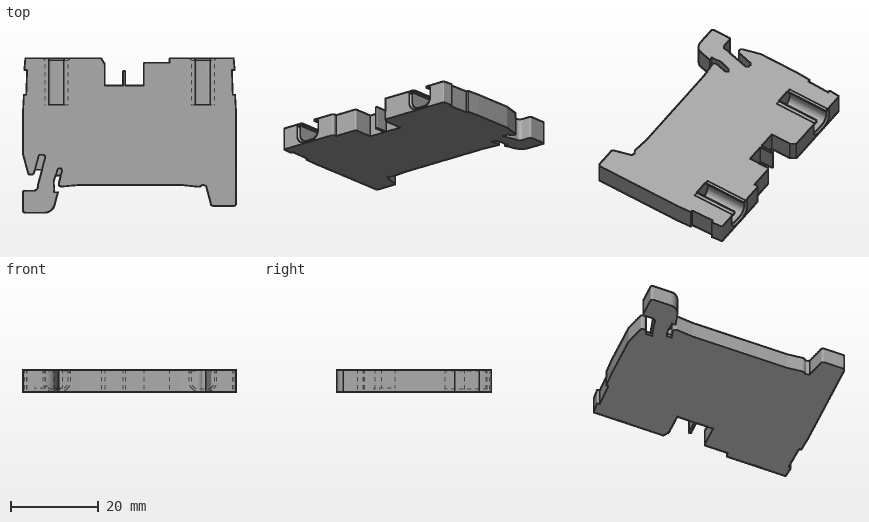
import cadquery as cq
import math

WIDTH = 48.5
HEIGHT = 35.2
THICKNESS = 5.1
HALF_WIDTH = WIDTH / 2

LEAN_ANGLE = 15.0
LEAN = math.tan(math.radians(LEAN_ANGLE))

CORNER_RADIUS = 0.55
MEDIUM_RADIUS = 0.7
SMALL_RADIUS = 0.35
EDGE_RADIUS = 0.2

ROUND_END = 0.48

TOP_INSET = 0.55
LATCH_INSET = 0.3
LATCH_Y = 32.45
NECK_TOP_INSET = 0.9
NECK_BOTTOM_INSET = 0.75
SHOULDER_INSET = 0.2
SHOULDER_Y = 26.85
SIDE_Y = 23.25

NOTCH_LEFT = -5.65
NOTCH_RIGHT = 3.2
NOTCH_FLOOR_Y = 29.0
NOTCH_CHAMFER_X = 0.82
NOTCH_CHAMFER_Y = 1.3
LEDGE_RIGHT = 9.05
LEDGE_Y = 34.2

FIN_X = -1.2
FIN_WIDTH = 0.55
FIN_TIP_Y = 32.3

SEAT_Y = 6.3
SEAT_END_Y = 5.85
SEAT_FLAT_LEFT = -11.45
SEAT_FLAT_RIGHT = 11.85
SEAT_LEFT = -16.35
SEAT_RIGHT = 15.95
SEAT_END_RADIUS = 1.05

FOOT_Y = 1.55
FOOT_LEFT = 18.6
RELIEF_X = 16.6
RELIEF_Y = 6.35
FOOT_ROOT_Y = 6.1

LOBE_TOP_Y = 13.35
LOBE_Y = 8.7
WIDE_SLOT_TOP_Y = 13.2
WIDE_SLOT_TOP_RIGHT = -19.0
WIDE_SLOT_WIDTH = 1.6

HOOK_TOP_Y = 5.05
HOOK_RADIUS = 2.42
HOOK_TIP_X = -16.25
HOOK_TIP_Y = 4.7
HOOK_NECK_X = -17.15
ARM_KINK_Y = 6.25
ARM_KINK_RADIUS = 1.3
ARM_ROOT_RADIUS = 0.95
NECK_BULGE = 0.1
NECK_BULGE_Y = 5.45
ARM_BEND_Y = 7.05
ARM_BEND_RADIUS = 1.95

NARROW_SLOT_TOP_Y = 10.15
NARROW_SLOT_WIDTH = 1.05

WEB_THICKNESS = 0.95
WEB_OVERLAP = 0.25
WIDE_WEB_Y = 9.75
NARROW_WEB_Y = 8.5

CHANNEL_X = 16.65
CHANNEL_LENGTH = 10.55
CHANNEL_OPENING = 3.45
CHANNEL_FLAT = 1.75
CHANNEL_RADIUS = 1.75
CHANNEL_DEPTH = 4.35
MOUTH_BEVEL = 0.55
MOUTH_BEVEL_ANGLE = 45.0
LIP_THICKNESS = 0.25


def rounded_wire(corners, plane=cq.Workplane("XY")):
    """Closed outline through (x, y, radius) corners, each rounded by a tangent arc."""
    arcs = []
    for i, (x, y, radius) in enumerate(corners):
        before = cq.Vector(*corners[i - 1][:2])
        after = cq.Vector(*corners[(i + 1) % len(corners)][:2])
        corner = cq.Vector(x, y)
        to_before = (before - corner).normalized()
        to_after = (after - corner).normalized()
        half_angle = to_before.getAngle(to_after) / 2
        setback = radius / math.tan(half_angle)
        bisector = (to_before + to_after).normalized()
        middle = corner + bisector * (radius / math.sin(half_angle) - radius)
        arcs.append((corner + to_before * setback, middle, corner + to_after * setback, radius))
    outline = plane.moveTo(*arcs[0][2].toTuple()[:2])
    for start, middle, end, radius in arcs[1:] + arcs[:1]:
        outline = outline.lineTo(start.x, start.y)
        if radius > 0:
            outline = outline.threePointArc((middle.x, middle.y), (end.x, end.y))
    return outline.close()


def side_steps(side):
    """Corners of one stepped side from the top edge down; side is -1 for left, +1 for right."""
    steps = [
        (TOP_INSET, HEIGHT, EDGE_RADIUS),
        (LATCH_INSET, LATCH_Y, EDGE_RADIUS),
        (NECK_TOP_INSET, LATCH_Y, 0),
        (NECK_BOTTOM_INSET, SHOULDER_Y, 0),
        (SHOULDER_INSET, SHOULDER_Y, 0),
        (0, SIDE_Y, 0),
    ]
    return [(side * (HALF_WIDTH - inset), y, radius) for inset, y, radius in steps]


def wide_slot_right(y):
    return WIDE_SLOT_TOP_RIGHT - (WIDE_SLOT_TOP_Y - y) * LEAN


def narrow_slot_right(y):
    return SEAT_LEFT + (y - SEAT_END_Y) * LEAN


def left_corners():
    """Lobe, wide slot, hook, spring arm and narrow slot, from the left side to the rail seat."""
    lobe_left = -HALF_WIDTH + (LOBE_TOP_Y - LOBE_Y) * LEAN
    arm_left = wide_slot_right(ARM_KINK_Y)
    hook_right = HOOK_TIP_X - HOOK_TIP_Y * LEAN
    arm_slot_top = narrow_slot_right(NARROW_SLOT_TOP_Y)
    slot_end_radius = ROUND_END * NARROW_SLOT_WIDTH
    return [
        (-HALF_WIDTH, LOBE_TOP_Y, CORNER_RADIUS),
        (lobe_left, LOBE_Y, CORNER_RADIUS),
        (wide_slot_right(LOBE_Y) - WIDE_SLOT_WIDTH, LOBE_Y, MEDIUM_RADIUS),
        (WIDE_SLOT_TOP_RIGHT - WIDE_SLOT_WIDTH, WIDE_SLOT_TOP_Y, SMALL_RADIUS),
        (WIDE_SLOT_TOP_RIGHT, WIDE_SLOT_TOP_Y, CORNER_RADIUS),
        (arm_left, ARM_KINK_Y, ARM_KINK_RADIUS),
        (arm_left, HOOK_TOP_Y, ARM_ROOT_RADIUS),
        (-HALF_WIDTH, HOOK_TOP_Y, SMALL_RADIUS),
        (-HALF_WIDTH, 0, CORNER_RADIUS),
        (hook_right, 0, HOOK_RADIUS),
        (HOOK_TIP_X, HOOK_TIP_Y, 0),
        (HOOK_NECK_X, HOOK_TIP_Y, 0),
        (HOOK_NECK_X + NECK_BULGE, NECK_BULGE_Y, SMALL_RADIUS),
        (HOOK_NECK_X - NECK_BULGE, ARM_BEND_Y, ARM_BEND_RADIUS),
        (arm_slot_top - NARROW_SLOT_WIDTH, NARROW_SLOT_TOP_Y, slot_end_radius),
        (arm_slot_top, NARROW_SLOT_TOP_Y, slot_end_radius),
        (SEAT_LEFT, SEAT_END_Y, MEDIUM_RADIUS),
    ]


def seat_and_foot_corners():
    foot_root_x = FOOT_LEFT - (FOOT_ROOT_Y - FOOT_Y) * LEAN
    return [
        (SEAT_FLAT_LEFT, SEAT_Y, 0),
        (SEAT_FLAT_RIGHT, SEAT_Y, 0),
        (SEAT_RIGHT, SEAT_END_Y, SEAT_END_RADIUS),
        (RELIEF_X, RELIEF_Y, SMALL_RADIUS),
        (foot_root_x, FOOT_ROOT_Y, 0),
        (FOOT_LEFT, FOOT_Y, CORNER_RADIUS),
        (HALF_WIDTH, FOOT_Y, CORNER_RADIUS),
    ]


def top_corners():
    """Top edge from right to left, with the notch and its fin."""
    fin_left = FIN_X - FIN_WIDTH / 2
    fin_right = FIN_X + FIN_WIDTH / 2
    fin_radius = ROUND_END * FIN_WIDTH
    return [
        (LEDGE_RIGHT, HEIGHT, SMALL_RADIUS),
        (LEDGE_RIGHT, LEDGE_Y, 0),
        (NOTCH_RIGHT, LEDGE_Y, SMALL_RADIUS),
        (NOTCH_RIGHT, NOTCH_FLOOR_Y, 0),
        (fin_right, NOTCH_FLOOR_Y, 0),
        (fin_right, FIN_TIP_Y, fin_radius),
        (fin_left, FIN_TIP_Y, fin_radius),
        (fin_left, NOTCH_FLOOR_Y, 0),
        (NOTCH_LEFT, NOTCH_FLOOR_Y, 0),
        (NOTCH_LEFT, HEIGHT - NOTCH_CHAMFER_Y, 0),
        (NOTCH_LEFT - NOTCH_CHAMFER_X, HEIGHT, 0),
    ]


def make_plate():
    corners = side_steps(-1) + left_corners() + seat_and_foot_corners()
    corners += side_steps(1)[::-1] + top_corners()
    return rounded_wire(corners).extrude(THICKNESS)


def make_web(right_edge, slot_width, bottom_y, top_y):
    """Thin leaning strip across a slot, reaching slightly into both slot walls."""
    reach = slot_width + WEB_OVERLAP
    low = right_edge(bottom_y)
    high = right_edge(top_y)
    corners = [
        (low - reach, bottom_y),
        (low + WEB_OVERLAP, bottom_y),
        (high + WEB_OVERLAP, top_y),
        (high - reach, top_y),
    ]
    return cq.Workplane("XY").polyline(corners).close().extrude(WEB_THICKNESS)


def channel_section(center_x, growth):
    """Flat-topped section below the lips, with rounded lower corners; growth widens and deepens it."""
    half_width = CHANNEL_FLAT / 2 + CHANNEL_RADIUS + growth
    radius = CHANNEL_RADIUS + growth
    floor_z = THICKNESS - CHANNEL_DEPTH - growth
    ceiling_z = THICKNESS - LIP_THICKNESS
    corners = [
        (center_x - half_width, floor_z, radius),
        (center_x + half_width, floor_z, radius),
        (center_x + half_width, ceiling_z, 0),
        (center_x - half_width, ceiling_z, 0),
    ]
    return rounded_wire(corners, cq.Workplane("XZ", origin=(0, HEIGHT, 0)))


def make_channel(center_x):
    """Channel with a bevelled mouth, overhung by a thin lip on each side of its narrower opening."""
    tunnel = channel_section(center_x, 0).extrude(CHANNEL_LENGTH)
    mouth = channel_section(center_x, MOUTH_BEVEL).extrude(MOUTH_BEVEL, taper=MOUTH_BEVEL_ANGLE)

    left = center_x - CHANNEL_OPENING / 2
    right = center_x + CHANNEL_OPENING / 2
    flare = 2 * SMALL_RADIUS
    opening_corners = [
        (left, HEIGHT - CHANNEL_LENGTH, 0),
        (right, HEIGHT - CHANNEL_LENGTH, 0),
        (right, HEIGHT, SMALL_RADIUS),
        (right + flare, HEIGHT, 0),
        (right + flare, HEIGHT + flare, 0),
        (left - flare, HEIGHT + flare, 0),
        (left - flare, HEIGHT, 0),
        (left, HEIGHT, SMALL_RADIUS),
    ]
    lip_plane = cq.Workplane("XY", origin=(0, 0, THICKNESS - LIP_THICKNESS))
    opening = rounded_wire(opening_corners, lip_plane).extrude(LIP_THICKNESS)
    return tunnel.union(mouth).union(opening)


result = make_plate()
result = result.union(make_web(wide_slot_right, WIDE_SLOT_WIDTH, WIDE_WEB_Y, WIDE_SLOT_TOP_Y))
result = result.union(make_web(narrow_slot_right, NARROW_SLOT_WIDTH, NARROW_WEB_Y, NARROW_SLOT_TOP_Y))
for channel_x in (-CHANNEL_X, CHANNEL_X):
    result = result.cut(make_channel(channel_x))